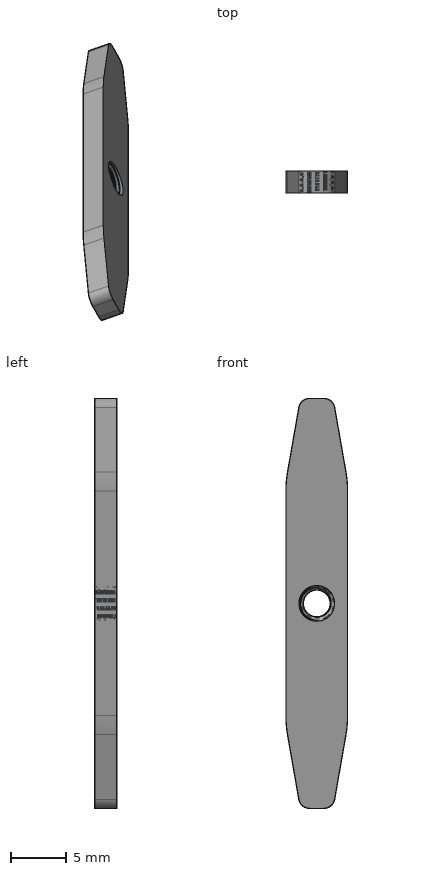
import cadquery as cq
import math

length = 37.0
width = 5.6
thickness = 2.0
tip_width = 2.95
shoulder_height = 11.0
tip_radius = 1.0
shoulder_radius = 10.0

major_diameter = 3.0
minor_diameter = 2.4
mouth_diameter = 3.22
pitch = thickness / 4
groove_mouth = 0.8 * pitch
groove_root = pitch / 8
overlap = 0.05
thread_start_angle = 40.0
end_turns = 1


def tapered_plate():
    """Flat bar tapering to both ends, with rounded tips and shoulders."""
    half_length = length / 2
    half_width = width / 2
    half_tip = tip_width / 2
    outline = [
        (half_tip, half_length),
        (half_width, shoulder_height),
        (half_width, -shoulder_height),
        (half_tip, -half_length),
        (-half_tip, -half_length),
        (-half_width, -shoulder_height),
        (-half_width, shoulder_height),
        (-half_tip, half_length),
    ]
    plate = cq.Workplane("XZ").polyline(outline).close().extrude(thickness / 2, both=True)
    middle = cq.selectors.BoxSelector(
        (-width, -thickness, -half_length + tip_radius),
        (width, thickness, half_length - tip_radius),
    )
    plate = plate.edges("|Y").edges(middle).fillet(shoulder_radius)
    plate = plate.edges("|Y and (>Z or <Z)").fillet(tip_radius)
    return plate


def thread_groove():
    """Helical groove cutter along Y, running past both faces of the plate."""
    minor_radius = minor_diameter / 2
    major_radius = major_diameter / 2
    flank_slope = (groove_mouth - groove_root) / (major_radius - minor_radius)
    inner_half = (groove_mouth + flank_slope * overlap) / 2
    outer_half = groove_root / 2
    inner_radius = minor_radius - overlap
    turns = math.ceil(thickness / pitch) + 2 * end_turns
    helix_height = turns * pitch

    section = [
        (inner_radius, -inner_half),
        (major_radius, -outer_half),
        (major_radius, outer_half),
        (inner_radius, inner_half),
    ]
    helices = [
        cq.Wire.makeHelix(pitch, helix_height, radius).translate(cq.Vector(0, 0, offset))
        for radius, offset in section
    ]
    faces = [
        cq.Face.makeRuledSurface(helices[i - 1], helices[i])
        for i in range(len(helices))
    ]
    for end_height in (0, helix_height):
        corners = [cq.Vector(radius, 0, end_height + offset) for radius, offset in section]
        faces.append(cq.Face.makeFromWires(cq.Wire.makePolygon(corners, close=True)))
    groove = cq.Workplane(cq.Solid.makeSolid(cq.Shell.makeShell(faces)))

    groove = groove.translate((0, 0, -helix_height / 2))
    groove = groove.rotate((0, 0, 0), (1, 0, 0), 90)
    return groove.rotate((0, 0, 0), (0, 1, 0), thread_start_angle)


def countersunk_bore():
    """Cutter for the bore, opening at 45 degrees to the mouth diameter at both faces."""
    minor_radius = minor_diameter / 2
    mouth_radius = mouth_diameter / 2
    half_thickness = thickness / 2
    cone_start = half_thickness - (mouth_radius - minor_radius)
    profile = [
        (0, -half_thickness),
        (mouth_radius, -half_thickness),
        (minor_radius, -cone_start),
        (minor_radius, cone_start),
        (mouth_radius, half_thickness),
        (0, half_thickness),
    ]
    return cq.Workplane("XY").polyline(profile).close().revolve(360, (0, 0, 0), (0, 1, 0))


result = tapered_plate().cut(countersunk_bore()).cut(thread_groove())